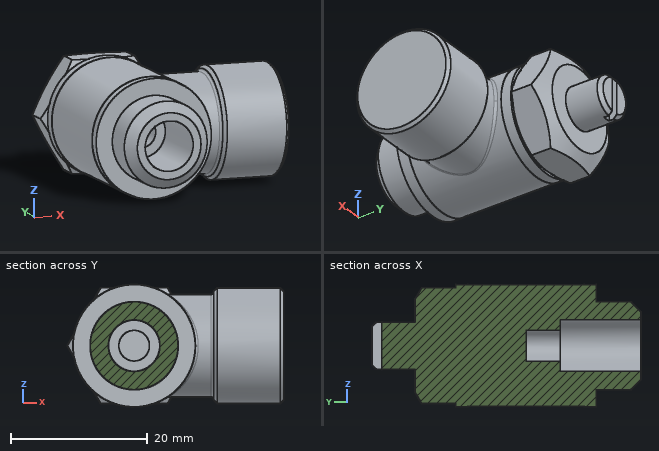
import cadquery as cq
import math


spigot_end_y = -16.85
body_start_y = -10.27
body_end_y = 10.4
nut_end_y = 16.35
stem_end_y = spigot_end_y + 39.5

body_radius = 8.95
collar_radius = 9.0
collar_length = 1.78
spigot_radius = 6.48
spigot_chamfer_length = 1.45
spigot_tip_radius = 4.98

bore_radius = 3.75
bore_depth = 11.85
inner_bore_radius = 2.25
inner_bore_end_y = 0

nut_flats = 17.03
nut_corner_radius = nut_flats / math.sqrt(3)
nut_end_radius = 6.87
nut_base_radius = nut_flats / 2
nut_chamfer_slope = math.tan(math.radians(30))

stem_radius = 3.5
stem_chamfer = 0.65
slot_width = 1.2
slot_depth = 1.42

port_end_x = 21.95
port_start_x = 11.65
port_radius = 8.5
port_chamfer = 0.5
neck_radius = 7.55
neck_fillet = 0.4


def cylinder_y(radius, start_y, end_y):
    """Cylinder on the main axis between two stations."""
    base = cq.Workplane("XZ", origin=(0, start_y, 0))
    return base.circle(radius).extrude(start_y - end_y)


def revolve_y(points):
    """Solid turned about the main axis from (radius, y) points."""
    return cq.Workplane("XY").polyline(points).close().revolve(360, (0, 0, 0), (0, 1, 0))


def make_spigot():
    return revolve_y([
        (0, spigot_end_y),
        (spigot_tip_radius, spigot_end_y),
        (spigot_radius, spigot_end_y + spigot_chamfer_length),
        (spigot_radius, body_start_y),
        (0, body_start_y),
    ])


def make_nut():
    hexagon = (
        cq.Workplane("XZ", origin=(0, body_end_y, 0))
        .polygon(6, 2 * nut_corner_radius)
        .extrude(body_end_y - nut_end_y)
    )
    base_rise = (nut_corner_radius - nut_base_radius) * nut_chamfer_slope
    end_drop = (nut_corner_radius - nut_end_radius) * nut_chamfer_slope
    envelope = revolve_y([
        (0, body_end_y),
        (nut_base_radius, body_end_y),
        (nut_corner_radius, body_end_y + base_rise),
        (nut_corner_radius, nut_end_y - end_drop),
        (nut_end_radius, nut_end_y),
        (0, nut_end_y),
    ])
    return hexagon.intersect(envelope)


def make_stem():
    stem = cylinder_y(stem_radius, nut_end_y, stem_end_y).faces(">Y").chamfer(stem_chamfer)
    slot = cq.Workplane("XY").box(slot_width, 2 * slot_depth, 2 * stem_radius)
    return stem.cut(slot.translate((0, stem_end_y, 0)))


def make_body_with_neck():
    """Body joined to the side neck, with a fillet along their intersection."""
    body = cylinder_y(body_radius, body_start_y, body_end_y)
    neck = cq.Workplane("YZ").circle(neck_radius).extrude(port_start_x)
    joint_box = cq.selectors.BoxSelector(
        (0, -neck_radius - neck_fillet, -body_radius),
        (port_start_x - neck_fillet, neck_radius + neck_fillet, body_radius),
        boundingbox=True,
    )
    return body.union(neck).edges(joint_box).fillet(neck_fillet)


def make_port():
    """Wide port head with chamfered ends and a fillet down to the neck."""
    head = (
        cq.Workplane("YZ", origin=(port_start_x, 0, 0))
        .circle(port_radius)
        .extrude(port_end_x - port_start_x)
        .faces("<X or >X")
        .chamfer(port_chamfer)
    )
    fillet_start_x = port_start_x - neck_fillet
    fillet_ring = (
        cq.Workplane("XY")
        .moveTo(fillet_start_x, 0)
        .lineTo(fillet_start_x, neck_radius)
        .radiusArc((port_start_x, neck_radius + neck_fillet), -neck_fillet)
        .lineTo(port_start_x, 0)
        .close()
        .revolve(360, (0, 0, 0), (1, 0, 0))
    )
    return head.union(fillet_ring)


def make_collars():
    """Slightly raised bands at both ends of the body."""
    lower = cylinder_y(collar_radius, body_start_y, body_start_y + collar_length)
    upper = cylinder_y(collar_radius, body_end_y - collar_length, body_end_y)
    return lower.union(upper)


result = make_body_with_neck().union(make_collars()).union(make_port())
result = result.union(make_spigot()).union(make_nut()).union(make_stem())
result = result.cut(cylinder_y(bore_radius, spigot_end_y, spigot_end_y + bore_depth))
result = result.cut(cylinder_y(inner_bore_radius, spigot_end_y, inner_bore_end_y))